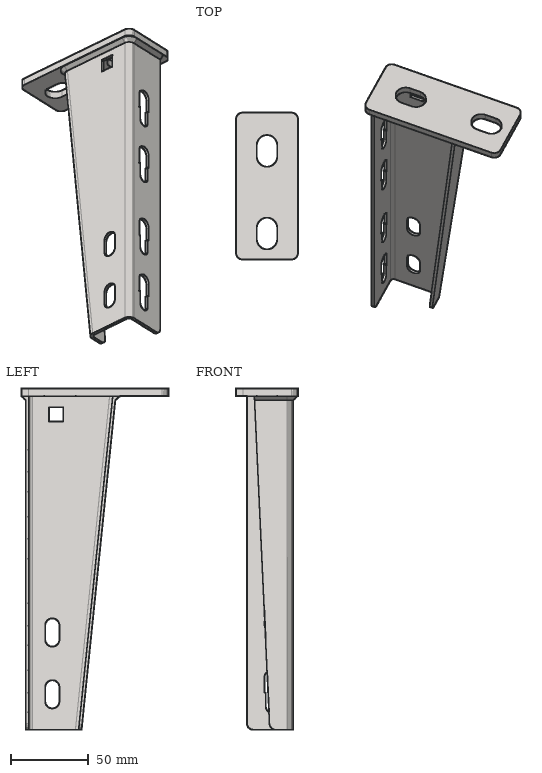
import cadquery as cq
import math

total_height = 220.2
plate_width = 40.0
plate_length = 95.0
plate_thickness = 5.0
plate_corner_radius = 4.5
plate_slot_width = 13.0
plate_slot_length = 20.3
plate_slot_ys = (-30.6, 22.7)

channel_top = total_height - plate_thickness
channel_open_x = -13.0
web_x = 17.0
back_y = 44.7
front_y_bottom = 8.5
front_y_top = -13.5
sheet = 2.0
bend_radius = 4.2
inner_bend_radius = bend_radius - sheet
flange_corner_radius = 4.2
front_edge_x_bottom = 1.8
front_edge_x_top = -8.1

weld_size = 2.6

square_hole_size = 9.0
square_hole_y = 25.0
square_hole_z = 203.5
web_slot_y = 27.5
web_slot_width = 9.0
web_slot_length = 18.0
web_slot_zs = (23.0, 62.8)

step_slot_x = 2.9
step_slot_length = 27.0
step_slot_lower = 12.8
step_slot_wide = 8.8
step_slot_narrow = 7.0
step_slot_bottoms = (11.2, 54.5, 110.3, 153.5)

front_lean = math.atan2(front_y_bottom - front_y_top, channel_top)
front_sheet_y = sheet / math.cos(front_lean)


def front_y(z):
    """Outer face of the leaning front flange at height z."""
    return front_y_bottom + (front_y_top - front_y_bottom) * z / channel_top


def make_plate():
    plate = (
        cq.Workplane("XY", origin=(0, 0, channel_top))
        .rect(plate_width, plate_length)
        .extrude(plate_thickness)
        .edges("|Z")
        .fillet(plate_corner_radius)
    )
    slots = (
        cq.Workplane("XY", origin=(0, 0, channel_top))
        .pushPoints([(0, y) for y in plate_slot_ys])
        .slot2D(plate_slot_length, plate_slot_width, 90)
        .extrude(plate_thickness)
    )
    return plate.cut(slots)


def tapered_block(end_x, back, front_bottom, front_top, radius):
    """Filled channel section whose two long edges at end_x are rounded."""
    return (
        cq.Workplane("YZ", origin=(channel_open_x, 0, 0))
        .polyline([(front_bottom, 0), (back, 0), (back, channel_top), (front_top, channel_top)])
        .close()
        .extrude(end_x - channel_open_x)
        .faces(">X")
        .edges("not |Y")
        .fillet(radius)
    )


def weld_section(z, growth):
    """Rounded channel outline at height z, grown outward on its three closed sides."""
    front = front_y(z) - growth
    back = back_y + growth
    side = web_x + growth
    radius = bend_radius + growth
    mid = radius * (1 - math.sqrt(0.5))
    return (
        cq.Workplane("XY", origin=(0, 0, z))
        .moveTo(channel_open_x, front)
        .lineTo(side - radius, front)
        .threePointArc((side - mid, front + mid), (side, front + radius))
        .lineTo(side, back - radius)
        .threePointArc((side - mid, back - mid), (side - radius, back))
        .lineTo(channel_open_x, back)
        .close()
        .val()
    )


def make_weld():
    sections = [weld_section(channel_top - weld_size, 0), weld_section(channel_top, weld_size)]
    return cq.Workplane(cq.Solid.makeLoft(sections, True))


def front_flange_trim():
    """Removes the front flange beyond its slanted free edge, rounding the bottom corner."""
    split_y = back_y - bend_radius
    front_limit = front_y_top - 2 * weld_size
    open_limit = channel_open_x - weld_size
    kept = (
        cq.Workplane("XZ", origin=(0, split_y, 0))
        .polyline([
            (front_edge_x_bottom, 0), (web_x + weld_size, 0),
            (web_x + weld_size, channel_top), (front_edge_x_top, channel_top),
        ])
        .close()
        .extrude(split_y - front_limit)
        .edges("|Y and <Z and (not >X)")
        .edges("<X")
        .fillet(flange_corner_radius)
    )
    region = cq.Workplane("XY").box(
        web_x - open_limit, split_y - front_limit, channel_top, centered=False
    ).translate((open_limit, front_limit, 0))
    return region.cut(kept)


def back_flange_slot(bottom):
    wide_r = step_slot_wide / 2
    narrow_r = step_slot_narrow / 2
    step_z = bottom + step_slot_lower
    top = bottom + step_slot_length
    return (
        cq.Workplane("XZ", origin=(step_slot_x, back_y, 0))
        .moveTo(-narrow_r, step_z)
        .lineTo(-wide_r, step_z)
        .lineTo(-wide_r, top - wide_r)
        .threePointArc((0, top), (wide_r, top - wide_r))
        .lineTo(wide_r, step_z)
        .lineTo(narrow_r, step_z)
        .lineTo(narrow_r, bottom + narrow_r)
        .threePointArc((0, bottom), (-narrow_r, bottom + narrow_r))
        .close()
        .extrude(sheet)
    )


def web_openings():
    web = cq.Workplane("YZ", origin=(web_x - sheet, 0, 0))
    square = web.center(square_hole_y, square_hole_z).rect(square_hole_size, square_hole_size).extrude(sheet)
    slots = (
        cq.Workplane("YZ", origin=(web_x - sheet, 0, 0))
        .pushPoints([(web_slot_y, z) for z in web_slot_zs])
        .slot2D(web_slot_length, web_slot_width, 90)
        .extrude(sheet)
    )
    return square.union(slots)


def make_channel():
    outside = tapered_block(web_x, back_y, front_y_bottom, front_y_top, bend_radius)
    cavity = tapered_block(
        web_x - sheet, back_y - sheet,
        front_y_bottom + front_sheet_y, front_y_top + front_sheet_y, inner_bend_radius,
    )
    channel = outside.union(make_weld()).cut(cavity)
    channel = channel.edges(cq.selectors.NearestToPointSelector(
        (channel_open_x, back_y - sheet / 2, 0)
    )).fillet(flange_corner_radius)
    channel = channel.cut(front_flange_trim()).cut(web_openings())
    for bottom in step_slot_bottoms:
        channel = channel.cut(back_flange_slot(bottom))
    return channel


plate = make_plate()
channel = make_channel()
result = cq.Compound.makeCompound([plate.val(), *channel.vals()])